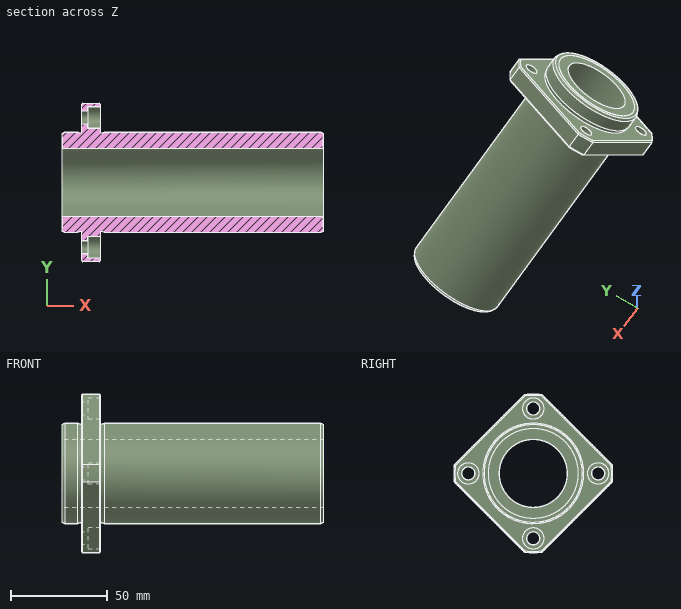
import cadquery as cq
import math

length = 135.0
outer_diameter = 52.0
bore_diameter = 35.0
end_chamfer_length = 1.5
end_chamfer_drop = 0.75

seal_diameter = 46.4
seal_recess = 0.1

flange_start = 10.0
flange_thickness = 10.0
flange_end = flange_start + flange_thickness
flange_side = 64.0
flange_corner_diameter = 82.0
flange_chamfer = 0.7

relief_width = 2.0
relief_depth = 0.5

hole_count = 4
bolt_circle_diameter = 67.0
hole_diameter = 6.6
counterbore_diameter = 11.0
counterbore_depth = 6.6


def cylinder(diameter, start, end):
    """Solid cylinder on the X axis from X = start to X = end."""
    return cq.Workplane("YZ", origin=(start, 0, 0)).circle(diameter / 2).extrude(end - start)


def relief_middle(flange_face, direction):
    """Point halfway round a relief arc that lies level where it meets the flange face."""
    arc_radius = (relief_width**2 + relief_depth**2) / (2 * relief_depth)
    half_angle = math.asin(relief_width / arc_radius) / 2
    bottom_radius = outer_diameter / 2 - relief_depth
    return (
        flange_face + direction * arc_radius * math.sin(half_angle),
        bottom_radius + arc_radius * (1 - math.cos(half_angle)),
    )


def make_sleeve():
    """Turned outer body with chamfered ends and the two relief grooves."""
    radius = outer_diameter / 2
    relief_radius = radius - relief_depth
    end_radius = radius - end_chamfer_drop
    profile = (
        cq.Workplane("XY")
        .lineTo(0, end_radius)
        .lineTo(end_chamfer_length, radius)
        .lineTo(flange_start - relief_width, radius)
        .threePointArc(relief_middle(flange_start, -1), (flange_start, relief_radius))
        .lineTo(flange_end, relief_radius)
        .threePointArc(relief_middle(flange_end, 1), (flange_end + relief_width, radius))
        .lineTo(length - end_chamfer_length, radius)
        .lineTo(length, end_radius)
        .lineTo(length, 0)
    )
    return profile.close().revolve(360, (0, 0, 0), (1, 0, 0))


def make_flange():
    """Square plate standing on a corner, with turned corners and chamfered rims."""
    square = (
        cq.Workplane("YZ", origin=(flange_start, 0, 0))
        .transformed(rotate=(0, 0, 45))
        .rect(flange_side, flange_side)
        .extrude(flange_thickness)
    )
    plate = square.intersect(cylinder(flange_corner_diameter, flange_start, flange_end))
    return plate.faces("<X or >X").chamfer(flange_chamfer)


def mounting_holes():
    """Through holes on the bolt circle, counterbored from the rear of the flange."""
    def at_holes(start):
        return cq.Workplane("YZ", origin=(start, 0, 0)).polarArray(
            bolt_circle_diameter / 2, 0, 360, hole_count
        )

    through = at_holes(flange_start).circle(hole_diameter / 2).extrude(flange_thickness)
    counterbores = (
        at_holes(flange_end - counterbore_depth)
        .circle(counterbore_diameter / 2)
        .extrude(counterbore_depth)
    )
    return through.union(counterbores)


def seal_recesses():
    """Shallow round recesses at both ends of the sleeve."""
    front = cylinder(seal_diameter, 0, seal_recess)
    rear = cylinder(seal_diameter, length - seal_recess, length)
    return front.union(rear)


result = (
    make_sleeve()
    .union(make_flange().cut(mounting_holes()))
    .cut(cylinder(bore_diameter, 0, length))
    .cut(seal_recesses())
)